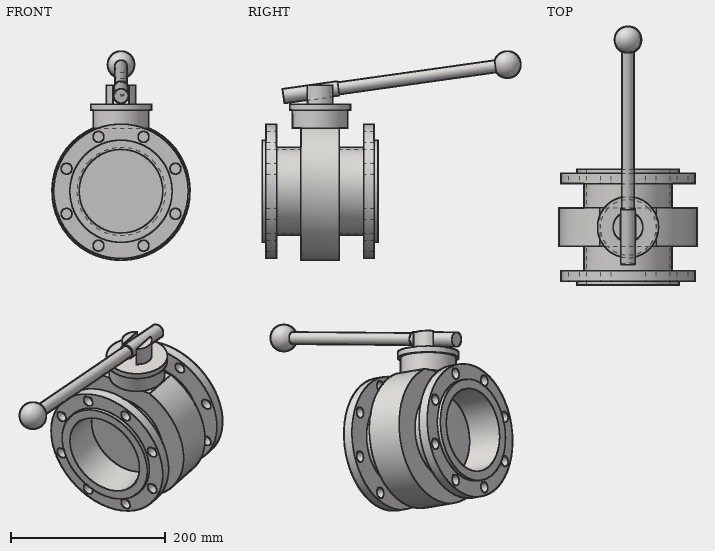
import cadquery as cq
import math

overall_length = 335.0

housing_length = 150.0
pipe_diameter = 114.2
bore_diameter = 108.2
bore_depth = 50.2
band_diameter = 179.0
band_width = 50.0
flat_height = 81.7

flange_diameter = 174.0
flange_thickness = 13.7
raised_face_diameter = 132.3
raised_face_height = 5.0
bolt_count = 8
bolt_hole_diameter = 14.0
bolt_circle_diameter = 152.5

neck_diameter = 72.0
neck_top = 105.0
cap_diameter = 79.0
cap_top = 112.5
stem_diameter = 38.5
stem_top = 137.3
slot_width = 20.0

lever_angle = 8.0
knob_diameter = 35.2
knob_y = overall_length - housing_length / 2 - knob_diameter / 2
knob_z = 163.8
rod_diameter = 16.0
sleeve_diameter = 19.0
sleeve_length = 72.0
lever_length = 292.7


def disc_along_y(diameter, y_start, y_end):
    """Solid cylinder on the flow axis between two Y positions."""
    return cq.Workplane("XZ", origin=(0, y_start, 0)).circle(diameter / 2).extrude(y_start - y_end)


def disc_along_z(diameter, z_start, z_end):
    """Solid cylinder on the stem axis between two Z positions."""
    return cq.Workplane("XY", origin=(0, 0, z_start)).circle(diameter / 2).extrude(z_end - z_start)


def make_band():
    """Central band with its top cut flat."""
    band = disc_along_y(band_diameter, -band_width / 2, band_width / 2)
    above_flat = cq.Workplane("XY", origin=(0, 0, flat_height)).rect(
        band_diameter, band_diameter).extrude(band_diameter)
    return band.cut(above_flat)


def make_flange():
    """Flange with raised face and bolt holes at the -Y end."""
    face_y = -housing_length / 2
    flange_y = face_y + raised_face_height
    flange = disc_along_y(flange_diameter, flange_y, flange_y + flange_thickness)
    bolt_holes = (
        cq.Workplane("XZ", origin=(0, flange_y, 0))
        .polarArray(bolt_circle_diameter / 2, 180 / bolt_count, 360, bolt_count)
        .circle(bolt_hole_diameter / 2)
        .extrude(-flange_thickness)
    )
    raised_face = disc_along_y(raised_face_diameter, face_y, flange_y)
    return flange.cut(bolt_holes).union(raised_face)


def make_stem():
    """Round stem split into two cheeks by the lever slot."""
    stem = disc_along_z(stem_diameter, cap_top, stem_top)
    slot = cq.Workplane("XY", origin=(0, 0, cap_top)).rect(
        slot_width, stem_diameter).extrude(stem_top - cap_top)
    return stem.cut(slot)


def make_housing():
    """Housing with closed centre, two flanged ends and the stem."""
    end_y = housing_length / 2
    flange = make_flange()
    body = disc_along_y(pipe_diameter, -end_y, end_y).union(make_band())
    body = body.union(flange).union(flange.mirror("XZ"))
    bore = disc_along_y(bore_diameter, -end_y, -end_y + bore_depth)
    body = body.cut(bore).cut(bore.mirror("XZ"))
    body = body.union(disc_along_z(neck_diameter, flat_height, neck_top))
    body = body.union(disc_along_z(cap_diameter, neck_top, cap_top))
    return body.union(make_stem())


def make_lever():
    """Sleeve, rod and ball knob on one inclined axis."""
    angle = math.radians(lever_angle)
    axis = cq.Vector(0, math.cos(angle), math.sin(angle))
    knob_centre = cq.Vector(0, knob_y, knob_z)
    free_end = knob_centre - axis * lever_length
    lever_plane = cq.Plane(origin=free_end, xDir=(1, 0, 0), normal=axis)
    sleeve = cq.Workplane(lever_plane).circle(sleeve_diameter / 2).extrude(sleeve_length)
    rod = cq.Workplane(lever_plane).circle(rod_diameter / 2).extrude(lever_length)
    knob = cq.Workplane("XY", origin=knob_centre.toTuple()).sphere(knob_diameter / 2)
    return sleeve.union(rod).union(knob)


housing = make_housing()
lever = make_lever()

result = cq.Compound.makeCompound([housing.solids().val(), lever.solids().val()])